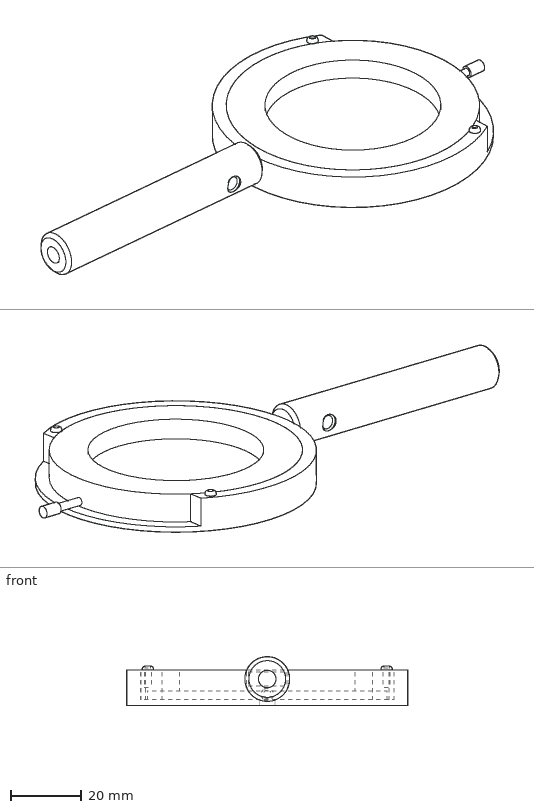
import cadquery as cq
import math

total_length = 165.6
total_height = 13.9

housing_diameter = 80.0
housing_height = 10.1
housing_radius = housing_diameter / 2
floor_thickness = 1.7
rim_cut_y = housing_radius / 2
seat_flat_width = 4.5

insert_diameter = 72.0
window_diameter = 50.0
disc_diameter = 68.0
disc_top = 4.1

handle_diameter = 12.8
handle_chamfer = 1.2
handle_axis_z = total_height - handle_diameter / 2
end_hole_diameter = 5.0
end_hole_depth = 10.0
drill_tip_angle = 118.0
cross_hole_diameter = 4.0
cross_hole_mouth_diameter = 5.0
cross_hole_inset = 12.0

lever_pin_diameter = 2.3
lever_knob_diameter = 3.5
lever_knob_length = 5.3
lever_axis_z = 3.1
lever_tip_y = disc_diameter / 2

screw_circle_radius = 37.5
screw_angles = (25.0, 155.0)
screw_head_diameter = 3.3
screw_head_height = 1.2
screw_head_fillet = 1.0
screw_shank_diameter = 2.0
screw_shank_length = 5.0
screw_socket_diameter = 1.6
screw_socket_depth = 0.7

seat_y = -math.sqrt(housing_radius**2 - (seat_flat_width / 2) ** 2)
handle_length = 76.2
handle_end_y = seat_y - handle_length
lever_end_y = handle_end_y + total_length


def cylinder_z(diameter, bottom, top):
    return cq.Workplane("XY", origin=(0, 0, bottom)).circle(diameter / 2).extrude(top - bottom)


def cylinder_y(diameter, start_y, end_y, axis_z):
    plane = cq.Workplane("XZ", origin=(0, start_y, axis_z))
    return plane.circle(diameter / 2).extrude(start_y - end_y)


def screw_places():
    return [
        (
            screw_circle_radius * math.cos(math.radians(angle)),
            screw_circle_radius * math.sin(math.radians(angle)),
        )
        for angle in screw_angles
    ]


def box_beyond(edge_y, direction, bottom):
    """Block covering the housing from edge_y outwards, above the given bottom."""
    middle_y = edge_y + direction * housing_radius / 2
    block = cq.Workplane("XY", origin=(0, middle_y, bottom))
    return block.rect(housing_diameter, housing_radius).extrude(housing_height)


def make_housing():
    cup = cylinder_z(housing_diameter, 0, housing_height)
    cup = cup.cut(cylinder_z(insert_diameter, floor_thickness, housing_height))
    cup = cup.cut(box_beyond(rim_cut_y, 1, floor_thickness))
    cup = cup.cut(box_beyond(seat_y, -1, 0))
    for x, y in screw_places():
        hole = cylinder_z(screw_shank_diameter, housing_height - screw_shank_length, housing_height)
        cup = cup.cut(hole.translate((x, y, 0)))
    return cup


def make_insert():
    ring = cylinder_z(insert_diameter, floor_thickness, housing_height)
    ring = ring.cut(cylinder_z(window_diameter, floor_thickness, housing_height))
    ring = ring.cut(cylinder_z(disc_diameter, floor_thickness, disc_top))
    return ring.cut(cylinder_y(lever_pin_diameter, lever_tip_y, lever_end_y, lever_axis_z))


def make_disc():
    return cylinder_z(disc_diameter, floor_thickness, disc_top)


def make_cross_hole():
    """Cutter for the hole through the handle, countersunk at 45 degrees on both sides."""
    handle_radius = handle_diameter / 2
    bore_radius = cross_hole_diameter / 2
    mouth_radius = cross_hole_mouth_diameter / 2
    mouth_x = math.sqrt(handle_radius**2 - mouth_radius**2)
    bore_x = mouth_x - (mouth_radius - bore_radius)
    return (
        cq.Workplane("XY", origin=(0, seat_y - cross_hole_inset, handle_axis_z))
        .moveTo(-handle_radius, 0)
        .lineTo(-handle_radius, mouth_radius)
        .lineTo(-mouth_x, mouth_radius)
        .lineTo(-bore_x, bore_radius)
        .lineTo(bore_x, bore_radius)
        .lineTo(mouth_x, mouth_radius)
        .lineTo(handle_radius, mouth_radius)
        .lineTo(handle_radius, 0)
        .close()
        .revolve(360, (0, 0, 0), (1, 0, 0))
    )


def make_handle():
    rod = cylinder_y(handle_diameter, seat_y, handle_end_y, handle_axis_z)
    rod = rod.faces("<Y or >Y").chamfer(handle_chamfer)
    radius = end_hole_diameter / 2
    tip_depth = radius / math.tan(math.radians(drill_tip_angle / 2))
    end_hole = (
        cq.Workplane("XY", origin=(0, handle_end_y, handle_axis_z))
        .polyline([(0, 0), (radius, 0), (radius, end_hole_depth), (0, end_hole_depth + tip_depth)])
        .close()
        .revolve(360, (0, 0, 0), (0, 1, 0))
    )
    return rod.cut(end_hole).cut(make_cross_hole())


def make_lever():
    knob_y = lever_end_y - lever_knob_length
    pin = cylinder_y(lever_pin_diameter, lever_tip_y, knob_y, lever_axis_z)
    return pin.union(cylinder_y(lever_knob_diameter, knob_y, lever_end_y, lever_axis_z))


def make_screw(x, y):
    head_top = housing_height + screw_head_height
    head = cylinder_z(screw_head_diameter, housing_height, head_top)
    head = head.faces(">Z").fillet(screw_head_fillet)
    shank = cylinder_z(screw_shank_diameter, housing_height - screw_shank_length, housing_height)
    socket = cylinder_z(screw_socket_diameter, head_top - screw_socket_depth, head_top)
    return head.union(shank).cut(socket).translate((x, y, 0))


housing = make_housing()
insert = make_insert()
disc = make_disc()
handle = make_handle()
lever = make_lever()
screws = [make_screw(x, y) for x, y in screw_places()]

result = cq.Compound.makeCompound(
    [
        housing.val(),
        insert.val(),
        disc.val(),
        handle.val(),
        lever.val(),
        *[screw.val() for screw in screws],
    ]
)